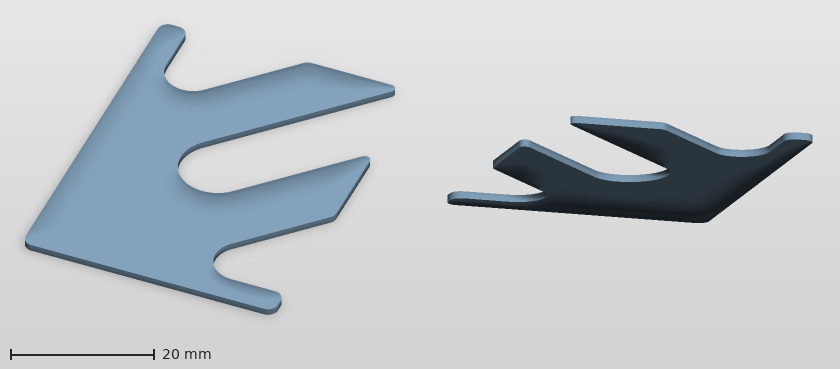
import cadquery as cq
import math

width = 38.1
height = 50.8
thickness = 1.0

arm_width = 4.05

notch_radius = 4.05
upper_notch_center = (arm_width + notch_radius, 42.65)
lower_notch_center = (29.95, arm_width + notch_radius)

slot_radius = 5.6
slot_center = (width / 2, height / 2)

corner_radius = 1.5
tip_radius = 0.75
shoulder_radius = 1.5

cutter_length = 2 * height
diagonal_angle = 45.0


def slot_cutter(center, radius, angle):
    """Round-ended slot starting at center and running outward at the angle in degrees."""
    end = cq.Workplane("XY").circle(radius).extrude(thickness)
    run = cq.Workplane("XY").rect(cutter_length, 2 * radius).extrude(thickness)
    run = run.translate((cutter_length / 2, 0, 0))
    cutter = end.union(run).rotate((0, 0, 0), (0, 0, 1), angle)
    return cutter.translate((center[0], center[1], 0))


def notch_cutter(center, arm_angle):
    """Notch opening from the arm direction to the diagonal, with one round root."""
    diagonal = math.radians(diagonal_angle)
    arm = math.radians(arm_angle)
    turn = math.copysign(1, arm_angle - diagonal_angle)

    def wall_point(direction, side, distance):
        return (
            center[0] + distance * math.cos(direction) - side * notch_radius * math.sin(direction),
            center[1] + distance * math.sin(direction) + side * notch_radius * math.cos(direction),
        )

    bisector = (diagonal + arm) / 2
    root = (
        center[0] - notch_radius * math.cos(bisector),
        center[1] - notch_radius * math.sin(bisector),
    )
    return (
        cq.Workplane("XY")
        .moveTo(*wall_point(arm, turn, cutter_length))
        .lineTo(*wall_point(arm, turn, 0))
        .threePointArc(root, wall_point(diagonal, -turn, 0))
        .lineTo(*wall_point(diagonal, -turn, cutter_length))
        .close()
        .extrude(thickness)
    )


def round_corners(body, points, radius):
    """Fillet the vertical edges standing at the given plan points."""
    for x, y in points:
        edge = cq.selectors.NearestToPointSelector((x, y, thickness / 2))
        body = body.edges("|Z").edges(edge).fillet(radius)
    return body


plate = cq.Workplane("XY").rect(width, height, centered=False).extrude(thickness)
plate = plate.cut(slot_cutter(slot_center, slot_radius, diagonal_angle))
plate = plate.cut(notch_cutter(upper_notch_center, 90.0))
plate = plate.cut(notch_cutter(lower_notch_center, 0.0))

slot_offset = slot_radius * math.sqrt(2)
notch_offset = notch_radius * math.sqrt(2)
slot_rise = slot_center[1] - slot_center[0]
upper_tip = (height - slot_rise - slot_offset, height)
lower_tip = (width, width + slot_rise - slot_offset)
upper_shoulder = (height - upper_notch_center[1] + upper_notch_center[0] + notch_offset, height)
lower_shoulder = (width, width - lower_notch_center[0] + lower_notch_center[1] + notch_offset)

arm_corners = [
    (0, 0),
    (0, height),
    (arm_width, height),
    (width, 0),
    (width, arm_width),
]
plate = round_corners(plate, arm_corners, corner_radius)
plate = round_corners(plate, [upper_shoulder, lower_shoulder], shoulder_radius)
plate = round_corners(plate, [upper_tip, lower_tip], tip_radius)

result = plate